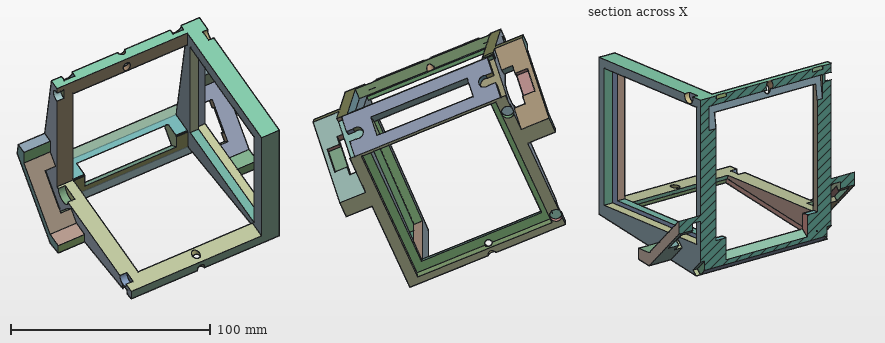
import cadquery as cq
import math

corner_reach = 17.0
side_height = 77.97
bottom_length = 77.29
thin_edge = 5.9
front_y = -41.9
back_y = 42.95
back_thickness = 10.25
back_inner_y = back_y - back_thickness
body_mid_y = (front_y + back_y) / 2
taper = math.atan((corner_reach - thin_edge) / side_height)

recess_width = 73.2
recess_start = 1.35
recess_end = 73.6
slope_recess_depth = 5.2
back_recess_depth = 5.5
side_window_half_width = back_inner_y
side_window_near = recess_start - slope_recess_depth * math.sin(taper)
side_window_far = 68.4
length_difference = side_height - bottom_length
back_window = (3.1, 69.3, 2.2, 70.0)

corner_slot_half_length = 26.2
corner_slot_half_width = 5.5
corner_slot_flare = math.radians(5)

lug_end_y = 57.0
lug_lower_sum = 6.2
lug_thickness = 5.0
lug_flange_end = 28.7
lug_flange_inner = -7.0
lug_slot_length = 22.9
lug_slot_end_y = 47.8
lug_pocket_length = 13.6
lug_pocket_end_y = 54.5
lug_pocket_depth = 2.75

magnet_diameter = 6.5
magnet_depth = 3.0
edge_magnet_inset = 1.1
pair_mid_y = -1.9
pair_half_spacing = 31.15
low_magnet_position = 7.1
bottom_magnet_positions = (8.9, 70.8)
front_magnet_inset = 2.4
back_magnet_x = 6.0
front_seat_depth = 4.0
front_seat_offset = 0.5
large_seat_diameter = 10.0
large_seat_x = 6.3
left_seat_z = 71.2
bottom_seat_x = 68.7
pin_diameter = 4.0
pin_position = 71.8
corner_magnet_inset = 7.6
corner_magnet_slot_width = 6.0
end_step_width = 2.7
end_step_depth = 3.55

pin_cut_reach = 30.0
SWAP_NORMAL = (1, 0, -1)


def block(x0, x1, y0, y1, z0, z1):
    return cq.Workplane("XY").box(x1 - x0, y1 - y0, z1 - z0, centered=False).translate((x0, y0, z0))


def prism(points, y0, y1):
    """Extrude an XZ outline from y0 to y1."""
    return cq.Workplane("XZ").polyline(points).close().extrude(y0 - y1).translate((0, y0, 0))


def swap_xz(shape):
    return shape.mirror(SWAP_NORMAL)


def slope_x(z):
    """X of the left plate's outer face at height z."""
    return -corner_reach + z * math.tan(taper)


def slope_plane(y, z):
    """Plane on the left outer face: local X climbs the face, the normal points into the part."""
    inward = (math.cos(taper), 0, -math.sin(taper))
    up_face = (math.sin(taper), 0, math.cos(taper))
    return cq.Plane(origin=(slope_x(z), y, z), xDir=up_face, normal=inward)


def bevel_plane(y):
    """Plane at the middle of the 45 degree bevel: local X along the bevel, normal into the part."""
    middle = -corner_reach / 2
    return cq.Plane(origin=(middle, y, middle), xDir=(1, 0, -1), normal=(1, 0, 1))


def outline():
    return [
        (0, -corner_reach),
        (bottom_length, -corner_reach + bottom_length * math.tan(taper)),
        (bottom_length, side_height),
        (slope_x(side_height), side_height),
        (-corner_reach, 0),
    ]


def make_shell():
    solid = prism(outline(), front_y, back_y)
    inside = block(0, bottom_length, front_y, back_inner_y, 0, side_height)
    return solid.cut(inside)


def plate_opening(window_far):
    """Outer recess and window of the left plate."""
    length = (recess_end - recess_start) / math.cos(taper)
    recess = (
        cq.Workplane(slope_plane(body_mid_y, recess_start))
        .center(length / 2, 0)
        .rect(length, recess_width)
        .extrude(slope_recess_depth)
    )
    floor_near_x = slope_x(recess_start) + slope_recess_depth * math.cos(taper)
    floor_far_x = slope_x(window_far) + slope_recess_depth / math.cos(taper)
    window = prism(
        [
            (0, side_window_near),
            (0, window_far),
            (floor_far_x, window_far - floor_far_x * math.tan(taper)),
            (floor_near_x, side_window_near),
        ],
        -side_window_half_width,
        side_window_half_width,
    )
    return recess.union(window)


def back_opening():
    x0, x1, z0, z1 = back_window
    window = block(x0, x1, back_inner_y, back_y, z0, z1)
    recess = block(0, recess_width, back_y - back_recess_depth, back_y, 0, recess_width)
    return window.union(recess)


def corner_slot():
    """Slot through the bevel; its long walls spread slightly inward."""
    depth = corner_reach / math.sqrt(2) + side_window_near
    flare = depth * math.tan(corner_slot_flare)
    half = corner_slot_half_width
    length = 2 * corner_slot_half_length
    return (
        cq.Workplane(bevel_plane(0))
        .rect(2 * half, length)
        .workplane(offset=depth)
        .rect(2 * (half + flare), length)
        .loft(ruled=True)
    )


def make_lugs():
    upper_sum = lug_lower_sum + lug_thickness * math.sqrt(2)
    end = lug_flange_end
    inner = lug_flange_inner
    far = -corner_reach
    section = prism(
        [
            (far, lug_lower_sum - far),
            (far, end),
            (inner, end),
            (inner, upper_sum - inner),
            (upper_sum - inner, inner),
            (end, inner),
            (end, far),
            (lug_lower_sum - far, far),
        ],
        -lug_end_y,
        lug_end_y,
    ).intersect(prism(outline(), -lug_end_y, lug_end_y))
    lugs = section.cut(block(far, bottom_length, front_y, back_y, far, side_height))
    face_middle = lug_lower_sum / 2
    face = cq.Plane(origin=(face_middle, 0, face_middle), xDir=(1, 0, -1), normal=(1, 0, 1))
    slot = cq.Workplane(face).rect(lug_slot_length, 2 * lug_slot_end_y).extrude(2 * lug_thickness)
    pocket = cq.Workplane(face).rect(lug_pocket_length, 2 * lug_pocket_end_y).extrude(lug_pocket_depth)
    return lugs.cut(slot).cut(pocket)


def slope_magnet(y, z):
    """Magnet seat square to the left outer face."""
    return cq.Workplane(slope_plane(y, z)).circle(magnet_diameter / 2).extrude(magnet_depth)


def y_seat(x, z, diameter, y_start, y_end):
    return (
        cq.Workplane("XZ", origin=(x, y_start, z)).circle(diameter / 2).extrude(y_start - y_end)
    )


def pin_hole():
    """45 degree pin hole through the top of the left plate."""
    axis = cq.Plane(origin=(0, pair_mid_y, pin_position), xDir=(0, 1, 0), normal=(-1, 0, 1))
    return cq.Workplane(axis).circle(pin_diameter / 2).extrude(pin_cut_reach, both=True)


def bevel_end(side):
    """Stepped bevel end with a round-ended magnet slot; side is -1 for front, +1 for back."""
    bevel_length = corner_reach * math.sqrt(2)
    end_y = back_y if side > 0 else front_y
    step = (
        cq.Workplane(bevel_plane(end_y - side * end_step_width / 2))
        .rect(bevel_length, end_step_width)
        .extrude(end_step_depth)
    )
    magnet_y = end_y - side * corner_magnet_inset
    seat = cq.Workplane(bevel_plane(magnet_y)).circle(magnet_diameter / 2).extrude(end_step_depth)
    slot = (
        cq.Workplane(bevel_plane(end_y - side * corner_magnet_inset / 2))
        .rect(corner_magnet_slot_width, corner_magnet_inset)
        .extrude(end_step_depth)
    )
    return step.union(seat).union(slot)


body = make_shell().union(make_lugs())

body = body.cut(plate_opening(side_window_far))
body = body.cut(swap_xz(plate_opening(side_window_far - length_difference)))
body = body.cut(back_opening())
body = body.cut(corner_slot())
for side in (-1, 1):
    body = body.cut(bevel_end(side))

for side in (-1, 1):
    body = body.cut(slope_magnet(pair_mid_y + side * pair_half_spacing, side_height - edge_magnet_inset))
front_magnet_y = front_y + front_magnet_inset
body = body.cut(slope_magnet(front_magnet_y, low_magnet_position))
for position in bottom_magnet_positions:
    body = body.cut(swap_xz(slope_magnet(front_magnet_y, position)))

seat_end_y = front_y + front_seat_depth
body = body.cut(y_seat(large_seat_x, 0, large_seat_diameter, front_y, seat_end_y))
body = body.cut(y_seat(-front_seat_offset, left_seat_z, magnet_diameter, front_y, seat_end_y))
body = body.cut(y_seat(bottom_seat_x, -front_seat_offset, magnet_diameter, front_y, seat_end_y))
back_magnet_z = side_height - edge_magnet_inset
body = body.cut(y_seat(back_magnet_x, back_magnet_z, magnet_diameter, back_y - magnet_depth, back_y))

body = body.cut(pin_hole())
body = body.cut(swap_xz(pin_hole()))

result = body